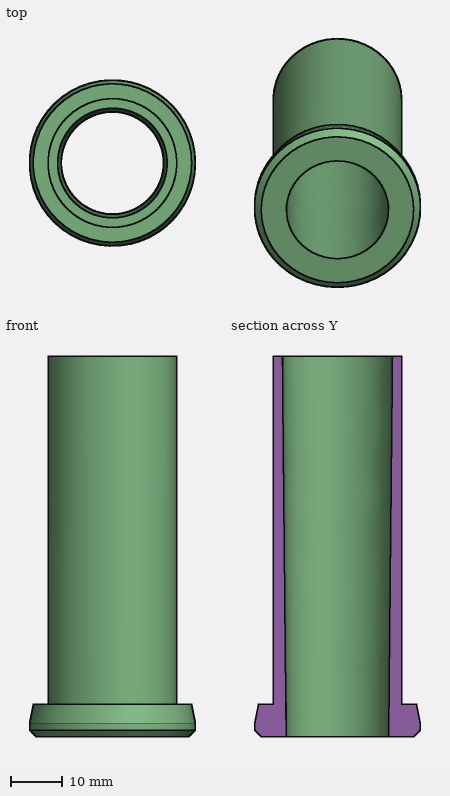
import cadquery as cq

total_height = 74.5
tube_radius = 12.6
bore_top_radius = 10.7
bore_bottom_radius = 10.0
collar_radius = 16.25
collar_top_radius = 15.5
collar_height = 6.4
band_top = 2.7
bottom_chamfer = 1.35

half_section = [
    (bore_bottom_radius, 0),
    (collar_radius - bottom_chamfer, 0),
    (collar_radius, bottom_chamfer),
    (collar_radius, band_top),
    (collar_top_radius, collar_height),
    (tube_radius, collar_height),
    (tube_radius, total_height),
    (bore_top_radius, total_height),
]

result = (
    cq.Workplane("XZ")
    .polyline(half_section)
    .close()
    .revolve(360, (0, 0, 0), (0, 1, 0))
)